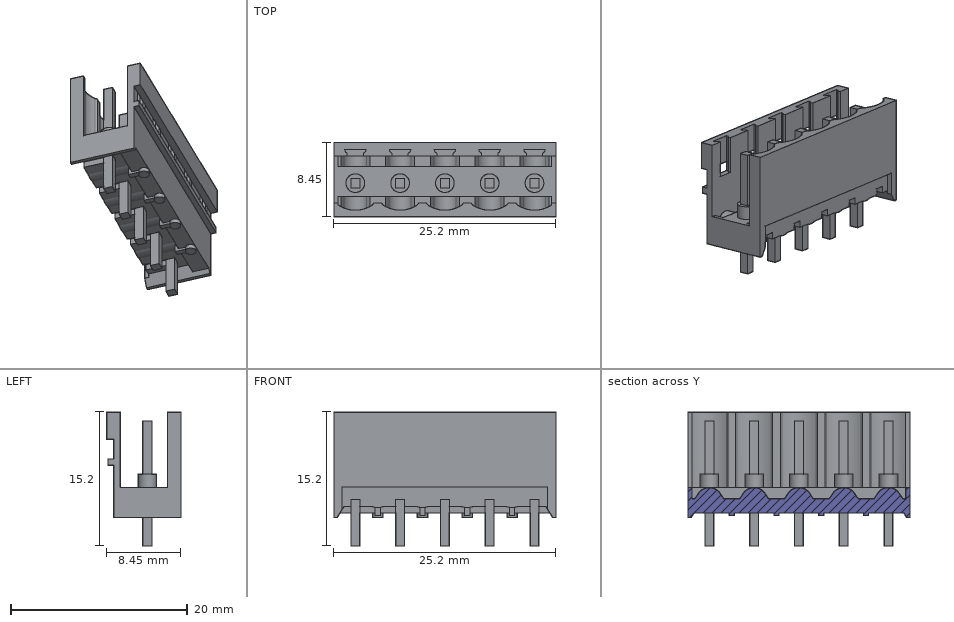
import cadquery as cq
import math


pin_count = 5
row_span = 20.3
pitch = row_span / (pin_count - 1)
pin_xs = [(i - (pin_count - 1) / 2) * pitch for i in range(pin_count)]
gap_xs = [x + pitch / 2 for x in pin_xs[:-1]]
pin_y = 3.83
pin_width = 1.0
pin_depth = 1.05
pin_bottom = -3.23
pin_top = 10.99

length = 25.2
depth = 8.45
height = 11.97
left_margin = 2.45
left_x = pin_xs[0] - left_margin
floor_z = 3.43
front_wall = 1.55
back_wall_inner_y = 6.88

back_face_y = 7.65
top_band_bottom = 8.87
rib_bottom = 5.92
rib_height = 0.75
rib_back_y = 8.3

scallop_front_y = 0.75
scallop_radius = 3.4
scallop_half_width = 1.95
scallop_center_y = scallop_front_y + scallop_radius
scallop_side_y = scallop_center_y - math.sqrt(scallop_radius**2 - scallop_half_width**2)
land_half_width = 0.43

front_trough_edge_y = 2.3
back_trough_edge_y = 5.7
trough_depth = 1.25
hump_half_width = 1.25
hump_rise = 0.7
hump_base_half_width = 1.65

dovetail_bottom = 7.8
dovetail_wide = 2.37
dovetail_narrow = 1.85
dovetail_neck = 0.3
dovetail_wide_depth = 0.2

boss_diameter = 2.12
boss_top = 4.95

recess_half_length = 11.65
recess_depth = 0.53
recess_top = 3.48
underside_z = 1.29
foot_half_gap = 12.22
underside_half_length = 11.45
back_skirt_bottom = 0.53
back_skirt_front_y = back_trough_edge_y
channel_width = pin_width
channel_top = 2.05
ridge_width = 1.4
ridge_drop = 0.13
standoff_radius = 0.6
standoff_y = back_face_y - standoff_radius
web_width = 0.6
web_bottom = 0.23
web_length = 0.4
web_front_y = back_skirt_front_y - web_length


def block(x0, x1, y0, y1, z0, z1):
    """Box between two opposite corners."""
    return cq.Workplane("XY").box(x1 - x0, y1 - y0, z1 - z0, centered=False).translate((x0, y0, z0))


def u_shaped_body():
    """U-shaped body with the thickened top band and the rib on its back."""
    outline = [
        (0, 0),
        (back_face_y, 0),
        (back_face_y, rib_bottom),
        (rib_back_y, rib_bottom),
        (rib_back_y, rib_bottom + rib_height),
        (back_face_y, rib_bottom + rib_height),
        (back_face_y, top_band_bottom),
        (depth, top_band_bottom),
        (depth, height),
        (back_wall_inner_y, height),
        (back_wall_inner_y, floor_z),
        (front_wall, floor_z),
        (front_wall, height),
        (0, height),
    ]
    return cq.Workplane("YZ").polyline(outline).close().extrude(length).translate((left_x, 0, 0))


def scallop(x):
    """Hollow of the front wall in front of one pin, from the trough bottom to the top."""
    return (
        cq.Workplane("XY", origin=(x, 0, floor_z - trough_depth))
        .moveTo(-scallop_half_width, front_trough_edge_y)
        .lineTo(-scallop_half_width, scallop_side_y)
        .threePointArc((0, scallop_front_y), (scallop_half_width, scallop_side_y))
        .lineTo(scallop_half_width, front_trough_edge_y)
        .close()
        .extrude(height)
    )


def scallop_bevel(x):
    """Space beside the flat land between two scallops, bevelled down to both arcs."""
    half_gap = pitch / 2 - scallop_half_width
    outline = [
        (-half_gap, scallop_side_y),
        (-land_half_width, front_wall),
        (land_half_width, front_wall),
        (half_gap, scallop_side_y),
        (half_gap, front_trough_edge_y),
        (-half_gap, front_trough_edge_y),
    ]
    return (
        cq.Workplane("XY", origin=(x, 0, floor_z - trough_depth)).polyline(outline).close().extrude(height)
    )


def front_hollow():
    """Scalloped hollow along the front wall, with the front floor trough as its lower end."""
    hollow = scallop(pin_xs[0])
    for x in pin_xs[1:]:
        hollow = hollow.union(scallop(x))
    for x in gap_xs:
        hollow = hollow.union(scallop_bevel(x))
    return hollow


def back_trough():
    """Trough in the floor along the back wall."""
    half_length = pin_xs[-1] + scallop_half_width
    return block(
        -half_length, half_length, back_trough_edge_y, back_wall_inner_y, floor_z - trough_depth, floor_z
    )


def hump(x):
    """Arched rise of the trough bottom beneath one pin, level with the floor at its crest."""
    shoulder_z = floor_z - hump_rise
    base_z = floor_z - trough_depth
    return (
        cq.Workplane("XZ", origin=(x, 0, 0))
        .moveTo(-hump_base_half_width, base_z)
        .lineTo(-hump_half_width, shoulder_z)
        .threePointArc((0, floor_z), (hump_half_width, shoulder_z))
        .lineTo(hump_base_half_width, base_z)
        .close()
        .extrude(-(back_wall_inner_y - scallop_front_y))
        .translate((0, scallop_front_y, 0))
    )


def dovetail_slot(x):
    """Undercut slot, open at the top, that breaks through below the top band."""
    neck_y = back_wall_inner_y + dovetail_neck
    wide_y = back_face_y - dovetail_wide_depth
    right_side = [
        (dovetail_narrow / 2, back_wall_inner_y),
        (dovetail_narrow / 2, neck_y),
        (dovetail_wide / 2, wide_y),
        (dovetail_wide / 2, back_face_y),
    ]
    left_side = [(-px, py) for px, py in reversed(right_side)]
    return (
        cq.Workplane("XY", origin=(x, 0, dovetail_bottom))
        .polyline(right_side + left_side)
        .close()
        .extrude(height - dovetail_bottom)
    )


def boss(x):
    """Round collar on the floor around one pin."""
    return (
        cq.Workplane("XY", origin=(x, pin_y, floor_z)).circle(boss_diameter / 2).extrude(boss_top - floor_z)
    )


def underside_space():
    """Clearance between the end feet, with sloping ends, in front of the back skirt."""
    outline = [
        (-foot_half_gap, 0),
        (-underside_half_length, underside_z),
        (underside_half_length, underside_z),
        (foot_half_gap, 0),
    ]
    space = cq.Workplane("XZ").polyline(outline).close().extrude(-back_face_y)
    skirt = block(
        -foot_half_gap, foot_half_gap, back_skirt_front_y, back_face_y, back_skirt_bottom, underside_z
    )
    return space.cut(skirt)


def front_recess():
    """Step back of the lower part of the front face."""
    return block(-recess_half_length, recess_half_length, 0, recess_depth, 0, recess_top)


def pin_channel(x):
    """Groove of the underside that leads from the front to one pin."""
    return block(
        x - channel_width / 2, x + channel_width / 2, 0, pin_y + pin_depth / 2, 0, channel_top
    )


def ridge(x):
    """Shallow rounded ridge along the underside between two pins."""
    return (
        cq.Workplane("XZ", origin=(x, 0, 0))
        .moveTo(-ridge_width / 2, underside_z)
        .threePointArc((0, underside_z - ridge_drop), (ridge_width / 2, underside_z))
        .close()
        .extrude(-(back_skirt_front_y - recess_depth))
        .translate((0, recess_depth, 0))
    )


def standoff(x):
    """Round foot between two pins with a short web in front of it."""
    foot = cq.Workplane("XY", origin=(x, standoff_y, 0)).circle(standoff_radius).extrude(underside_z)
    web = block(x - web_width / 2, x + web_width / 2, web_front_y, standoff_y, web_bottom, underside_z)
    return foot.union(web)


def pin(x):
    """Straight pin of rectangular section that fills its hole in the housing."""
    return block(
        x - pin_width / 2, x + pin_width / 2,
        pin_y - pin_depth / 2, pin_y + pin_depth / 2,
        pin_bottom, pin_top,
    )


def make_housing():
    """Housing with its hollows, bosses, dovetail slots and underside."""
    hollows = front_hollow().union(back_trough())
    body = u_shaped_body().cut(hollows)
    for x in pin_xs:
        body = body.union(hump(x).intersect(hollows))
        body = body.union(boss(x)).cut(dovetail_slot(x))
    body = body.cut(underside_space()).cut(front_recess())
    for x in gap_xs:
        body = body.union(ridge(x)).union(standoff(x))
    for x in pin_xs:
        body = body.cut(pin_channel(x)).cut(pin(x))
    return body


housing = make_housing()
pins = [pin(x) for x in pin_xs]

result = cq.Compound.makeCompound([housing.val(), *[p.val() for p in pins]])